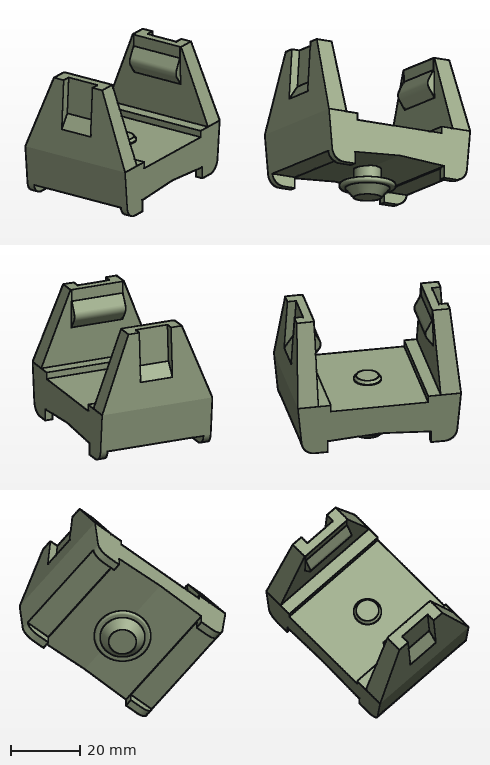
import cadquery as cq

width = 35.0
length = 48.0
height = 42.2

shoulder_z = 19.2
floor_z = 17.25
foot_z = 4.1
underside_edge_z = 7.6
underside_peak_z = 8.6
floor_half_length = 14.3
foot_inner_y = 15.15
foot_bottom_y = 22.55
foot_radius = 3.85
foot_thickness = 2.3
foot_gap_top_z = 7.3

arm_top_width = 16.95
arm_top_outer_y = 22.5
arm_top_inner_y = 17.4
arm_foot_inner_y = 18.0

pocket_width = 10.1
pocket_bottom_z = 27.2
pocket_back_z = 31.25
pocket_depth = 2.55

ridge_width = 16.2
ridge_apex_y = 15.0
ridge_root_y = 17.35
ridge_top_z = 38.65
ridge_apex_z = 34.25
ridge_bottom_z = 30.4
ridge_tip_radius = 2.4

shaft_radius = 4.0
tip_radius = 3.25
screw_top_z = 18.4
screw_chamfer_z = 17.45
rim_radius = 8.15
rim_top_z = 4.25
rim_bottom_z = 2.75
rim_fillet = 0.7
cone_radius = 6.5

half_width = width / 2
half_length = length / 2


def outer_y(z):
    """Y of the leaning outer face of the arm at height z."""
    rise = (z - shoulder_z) / (height - shoulder_z)
    return half_length + (arm_top_outer_y - half_length) * rise


def inner_y(z):
    """Y of the leaning inner face of the arm at height z."""
    rise = (z - shoulder_z) / (height - shoulder_z)
    return arm_foot_inner_y + (arm_top_inner_y - arm_foot_inner_y) * rise


def extrude_across(profile, size):
    """Extrude a closed YZ profile by size, centred on X = 0."""
    return profile.extrude(size / 2, both=True)


def make_base():
    half_outline = [
        (floor_half_length, floor_z),
        (floor_half_length, shoulder_z),
        (half_length, shoulder_z),
        (foot_bottom_y, foot_z),
        (foot_inner_y, foot_z),
        (foot_inner_y, underside_edge_z),
    ]
    mirrored = [(-y, z) for y, z in reversed(half_outline)]
    outline = half_outline + [(0, underside_peak_z)] + mirrored
    base = extrude_across(cq.Workplane("YZ").polyline(outline).close(), width)
    for side in (-1, 1):
        corner = cq.selectors.NearestToPointSelector((0, side * foot_bottom_y, foot_z))
        base = base.edges(corner).fillet(foot_radius)

    gap_height = foot_gap_top_z - foot_z
    gap = cq.Workplane("XY", origin=(0, 0, foot_z)).box(
        width - 2 * foot_thickness, length, gap_height, centered=(True, True, False)
    )
    return base.cut(gap)


def make_arm():
    """Arm on the +Y side, tapering in width towards its top."""
    side_profile = [
        (arm_foot_inner_y, shoulder_z),
        (half_length, shoulder_z),
        (arm_top_outer_y, height),
        (arm_top_inner_y, height),
    ]
    arm = extrude_across(cq.Workplane("YZ").polyline(side_profile).close(), width)
    face_profile = [
        (-half_width, shoulder_z),
        (half_width, shoulder_z),
        (arm_top_width / 2, height),
        (-arm_top_width / 2, height),
    ]
    taper = cq.Workplane("XZ").polyline(face_profile).close().extrude(-length)
    return arm.intersect(taper).cut(make_pocket()).union(make_ridge())


def make_pocket():
    """Open-topped pocket with a sloping floor and a back parallel to the outer face."""
    profile = [
        (outer_y(pocket_bottom_z), pocket_bottom_z),
        (outer_y(pocket_back_z) - pocket_depth, pocket_back_z),
        (outer_y(height) - pocket_depth, height),
        (length, height),
        (length, pocket_bottom_z),
    ]
    return extrude_across(cq.Workplane("YZ").polyline(profile).close(), pocket_width)


def make_ridge():
    """Rounded latch ridge with an upright pad above it."""
    profile = [
        (arm_foot_inner_y, ridge_bottom_z),
        (inner_y(ridge_bottom_z), ridge_bottom_z),
        (ridge_apex_y, ridge_apex_z),
        (ridge_root_y, ridge_top_z),
        (ridge_root_y, height),
        (arm_foot_inner_y, height),
    ]
    ridge = extrude_across(cq.Workplane("YZ").polyline(profile).close(), ridge_width)
    apex = cq.selectors.NearestToPointSelector((0, ridge_apex_y, ridge_apex_z))
    return ridge.edges(apex).fillet(ridge_tip_radius)


def make_screw():
    profile = [
        (0, 0),
        (shaft_radius, 0),
        (cone_radius, rim_bottom_z),
        (rim_radius, rim_bottom_z),
        (rim_radius, rim_top_z),
        (shaft_radius, rim_top_z),
        (shaft_radius, screw_chamfer_z),
        (tip_radius, screw_top_z),
        (0, screw_top_z),
    ]
    screw = cq.Workplane("XZ").polyline(profile).close().revolve(360, (0, 0), (0, 1))
    return screw.edges(cq.selectors.RadiusNthSelector(-1)).fillet(rim_fillet)


arm = make_arm()
result = make_base().union(arm).union(arm.mirror("XZ")).union(make_screw())